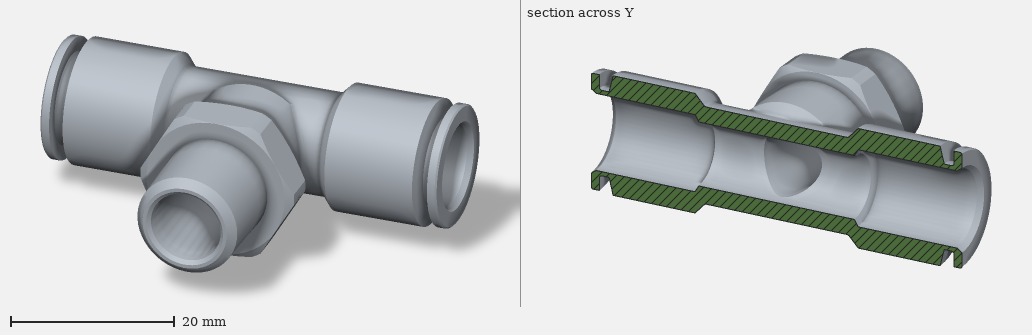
import cadquery as cq
import math

half_length = 25.8
collar_radius = 7.75
collar_thickness = 1.2
collar_chamfer = 0.2
neck_radius = 5.75
neck_length = 1.3
neck_flare_length = 0.25
neck_flare_rise = 0.15
socket_radius = 8.0
socket_face_lean = 0.55
shoulder_outer_x = 11.35
shoulder_inner_x = 9.95
tube_radius = 6.5
shoulder_blend = 0.4

mouth_radius = 5.6
mouth_depth = 0.7
socket_bore_radius = 5.1
socket_bore_depth = 14.45
stop_length = 0.5
run_bore_radius = 4.25

boss_radius = 7.9
boss_start = 2.8
boss_end = 10.3
boss_tip = 1.35
boss_tip_radius = 5.95
boss_blend = 0.5
relief_radius = 7.65
hex_start = 10.5
hex_end = 15.6
hex_across_flats = 18.0
hex_corner_radius = 10.0
hex_chamfer_angle = 30.0
spigot_root_radius = 6.7
spigot_tip_radius = 6.5
spigot_chamfer_start = 25.55
spigot_end = 26.5
spigot_end_radius = 5.45

branch_mouth_radius = 5.0
branch_mouth_depth = 0.45
branch_throat_radius = 4.55
branch_taper_end = 15.6
branch_bore_radius = 4.0


def turned_on_run(half_outline):
    """Revolve (x, radius) points of the +X half, and their mirror image, about the X axis."""
    mirrored = [(-x, radius) for x, radius in half_outline]
    end = half_outline[-1][0]
    outline = [(end, 0), (-end, 0)] + mirrored[::-1] + half_outline
    return cq.Workplane("XY").polyline(outline).close().revolve(360, (0, 0, 0), (1, 0, 0))


def turned_on_branch(points):
    """Revolve (distance along the branch, radius) points about the Y axis."""
    start = points[0][0]
    end = points[-1][0]
    outline = [(0, -start)] + [(radius, -distance) for distance, radius in points] + [(0, -end)]
    return cq.Workplane("XY").polyline(outline).close().revolve(360, (0, 0, 0), (0, 1, 0))


def run_with_sockets():
    collar_back = half_length - collar_thickness
    socket_end = collar_back - neck_length
    run_body = turned_on_run([
        (shoulder_inner_x, tube_radius),
        (shoulder_outer_x, socket_radius),
        (socket_end - socket_face_lean, socket_radius),
        (socket_end, neck_radius),
        (collar_back - neck_flare_length, neck_radius),
        (collar_back, neck_radius + neck_flare_rise),
        (collar_back, collar_radius),
        (half_length - collar_chamfer, collar_radius),
        (half_length, collar_radius - collar_chamfer),
    ])
    for side in (-1, 1):
        corner = (side * shoulder_inner_x, 0, tube_radius)
        run_body = run_body.edges(cq.NearestToPointSelector(corner)).fillet(shoulder_blend)
    return run_body


def run_bore():
    stop = half_length - socket_bore_depth
    return turned_on_run([
        (stop - stop_length, run_bore_radius),
        (stop, socket_bore_radius),
        (half_length - mouth_depth, socket_bore_radius),
        (half_length, mouth_radius),
    ])


def hexagon():
    flat_radius = hex_across_flats / 2
    corner_drop = (hex_corner_radius - flat_radius) * math.tan(math.radians(hex_chamfer_angle))
    across_corners = hex_across_flats / math.cos(math.pi / 6)
    prism = (
        cq.Workplane("XZ", origin=(0, -hex_start, 0))
        .polygon(6, across_corners)
        .extrude(hex_end - hex_start)
    )
    envelope = turned_on_branch([
        (hex_start, flat_radius),
        (hex_start + corner_drop, hex_corner_radius),
        (hex_end - corner_drop, hex_corner_radius),
        (hex_end, flat_radius),
    ])
    return prism.intersect(envelope)


def run_with_boss():
    """The run joined to the branch boss, with the seam where they meet rounded off."""
    boss = turned_on_branch([
        (boss_tip, boss_tip_radius),
        (boss_start, boss_radius),
        (boss_end, boss_radius),
    ])
    seam_low_corner = (-boss_radius, -tube_radius, -tube_radius - boss_blend)
    seam_high_corner = (boss_radius, -boss_tip, tube_radius + boss_blend)
    seam = cq.selectors.BoxSelector(seam_low_corner, seam_high_corner)
    return run_with_sockets().union(boss).edges(seam).fillet(boss_blend)


relief = turned_on_branch([(boss_end, relief_radius), (hex_start, relief_radius)])
spigot = turned_on_branch([
    (hex_end, spigot_root_radius),
    (spigot_chamfer_start, spigot_tip_radius),
    (spigot_end, spigot_end_radius),
])
branch_bore = turned_on_branch([
    (0, branch_bore_radius),
    (branch_taper_end, branch_bore_radius),
    (spigot_end - branch_mouth_depth, branch_throat_radius),
    (spigot_end, branch_mouth_radius),
])

result = (
    run_with_boss()
    .union(relief)
    .union(hexagon())
    .union(spigot)
    .cut(run_bore())
    .cut(branch_bore)
)